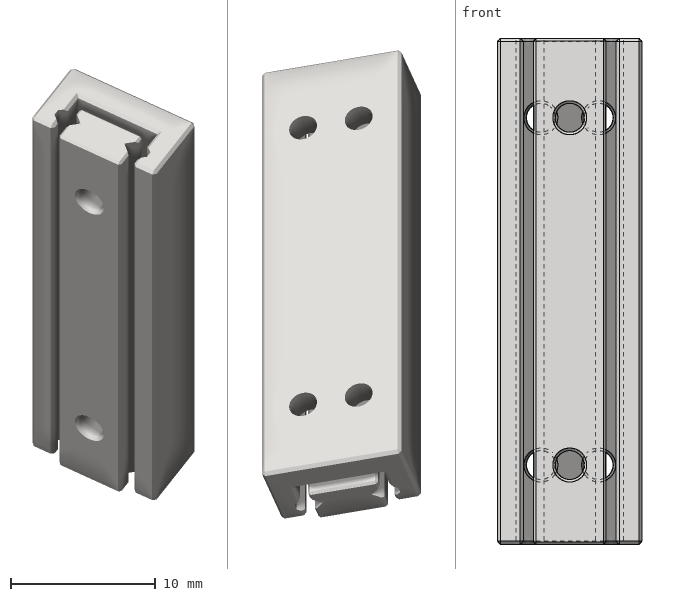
import cadquery as cq

length = 35.0
total_depth = 6.0

carriage_width = 10.0
carriage_depth = 5.5
carriage_chamfer = 0.228
channel_width = 6.4
web_thickness = 2.17

rail_width = 5.0
rail_depth = 3.0
rail_chamfer = 0.18

groove_y = 1.75
groove_half_mouth = 0.65
carriage_groove_depth = 0.52
carriage_groove_half_floor = 0.25
rail_groove_depth = 0.75

hole_diameter = 2.0
hole_mouth_diameter = 2.35
hole_row_spacing = 24.0
carriage_hole_spacing = 4.0

carriage_front_y = total_depth - carriage_depth
channel_floor_y = total_depth - web_thickness
hole_rows = [-hole_row_spacing / 2, hole_row_spacing / 2]
sides = [-1, 1]


def box(width, y_front, y_back, height):
    """Box centred on X and Z that spans the given Y range."""
    return (
        cq.Workplane("XY")
        .box(width, y_back - y_front, height)
        .translate((0, (y_front + y_back) / 2, 0))
    )


def prism(points):
    """Full-length bar along Z with the given XY outline."""
    return cq.Workplane("XY").polyline(points).close().extrude(length / 2, both=True)


def hole(x, mouth_y, z, back_y):
    """Cutter for a round hole from mouth_y to back_y, with a 45 degree chamfer at its mouth."""
    radius = hole_diameter / 2
    mouth_radius = hole_mouth_diameter / 2
    direction = cq.Vector(0, 1, 0)
    mouth = cq.Vector(x, mouth_y, z)
    bore = cq.Solid.makeCylinder(radius, back_y - mouth_y, mouth, direction)
    cone = cq.Solid.makeCone(mouth_radius, radius, mouth_radius - radius, mouth, direction)
    return cq.Workplane(bore.fuse(cone))


def carriage_groove(side):
    """Trapezoidal groove cut into one channel wall."""
    wall_x = side * channel_width / 2
    floor_x = wall_x + side * carriage_groove_depth
    return prism([
        (0, groove_y - groove_half_mouth),
        (wall_x, groove_y - groove_half_mouth),
        (floor_x, groove_y - carriage_groove_half_floor),
        (floor_x, groove_y + carriage_groove_half_floor),
        (wall_x, groove_y + groove_half_mouth),
        (0, groove_y + groove_half_mouth),
    ])


def rail_groove(side):
    """V groove cut into one rail side."""
    face_x = side * rail_width / 2
    return prism([
        (face_x, groove_y - groove_half_mouth),
        (face_x - side * rail_groove_depth, groove_y),
        (face_x, groove_y + groove_half_mouth),
    ])


def make_carriage():
    body = box(carriage_width, carriage_front_y, total_depth, length)
    body = body.cut(box(channel_width, carriage_front_y, channel_floor_y, length))

    inner_corners = cq.selectors.BoxSelector(
        (-channel_width, channel_floor_y - carriage_chamfer, -carriage_chamfer),
        (channel_width, channel_floor_y + carriage_chamfer, carriage_chamfer),
    )
    all_edges = cq.StringSyntaxSelector("|X or |Y or |Z")
    chamfered_edges = cq.selectors.SubtractSelector(all_edges, inner_corners)
    body = body.edges(chamfered_edges).chamfer(carriage_chamfer)

    for side in sides:
        body = body.cut(carriage_groove(side))
        for z in hole_rows:
            x = side * carriage_hole_spacing / 2
            body = body.cut(hole(x, channel_floor_y, z, total_depth))
    return body


def make_rail():
    body = box(rail_width, 0, rail_depth, length).edges().chamfer(rail_chamfer)
    for side in sides:
        body = body.cut(rail_groove(side))
    for z in hole_rows:
        body = body.cut(hole(0, 0, z, rail_depth))
    return body


carriage = make_carriage()
rail = make_rail()

result = cq.Compound.makeCompound([carriage.val(), rail.val()])